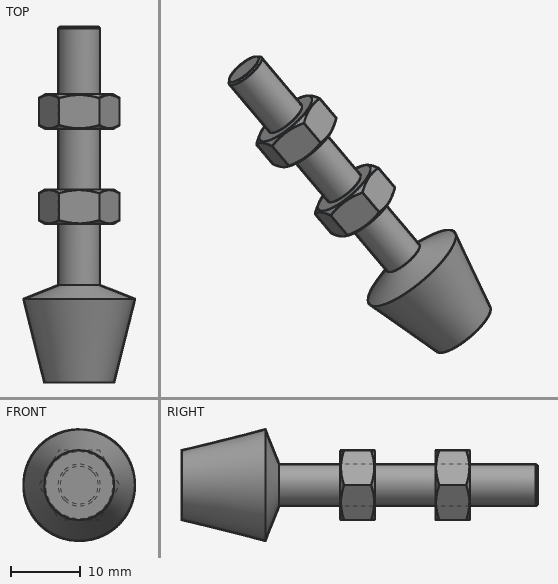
import cadquery as cq
import math

total_length = 51.0
rod_radius = 3.0
rod_end_chamfer = 0.3

tip_radius = 5.0
cushion_radius = 8.0
cushion_taper_length = 12.0
cushion_back_length = 2.0

nut_flats = 10.0
nut_thickness = 5.0
nut_chamfer_angle = 30.0
nut_starts = (22.7, 36.3)

nut_corner_radius = nut_flats / 2 / math.cos(math.radians(30))
nut_face_radius = 4.8


def revolve_about_y(profile):
    """Revolve a closed outline of (radius, y) points about the Y axis."""
    return cq.Workplane("XY").polyline(profile).close().revolve(360, (0, 0), (0, 1))


def make_spindle():
    """Plain rod with a double-tapered cushion at its front end."""
    cushion_length = cushion_taper_length + cushion_back_length
    return revolve_about_y([
        (0, 0),
        (tip_radius, 0),
        (cushion_radius, cushion_taper_length),
        (rod_radius, cushion_length),
        (rod_radius, total_length - rod_end_chamfer),
        (rod_radius - rod_end_chamfer, total_length),
        (0, total_length),
    ])


def make_nut(start):
    """Hex nut with corners along X, chamfered on both faces and bored to fit the rod."""
    chamfer_depth = (nut_corner_radius - nut_face_radius) * math.tan(math.radians(nut_chamfer_angle))
    end = start + nut_thickness
    hexagon = (
        cq.Workplane("XZ", origin=(0, start, 0))
        .polygon(6, 2 * nut_corner_radius)
        .extrude(-nut_thickness)
    )
    chamfered_ring = revolve_about_y([
        (rod_radius, start),
        (nut_face_radius, start),
        (nut_corner_radius, start + chamfer_depth),
        (nut_corner_radius, end - chamfer_depth),
        (nut_face_radius, end),
        (rod_radius, end),
    ])
    return hexagon.intersect(chamfered_ring)


spindle = make_spindle()
nuts = [make_nut(start) for start in nut_starts]

result = cq.Compound.makeCompound([spindle.val(), *[nut.val() for nut in nuts]])